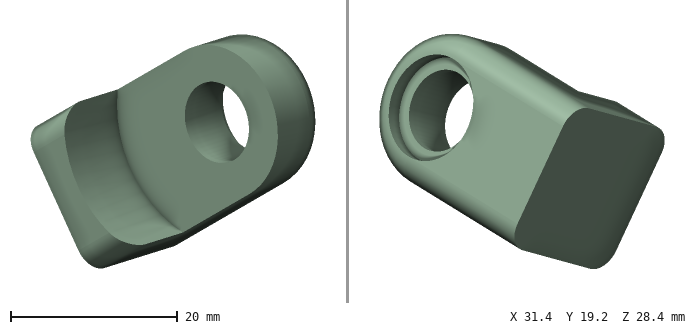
import cadquery as cq

block_length = 19.85
width = 19.0
depth = 19.0
edge_radius = 3.0
tongue_thickness = 9.0
relief_radius = 15.0
relief_setback = 0.7
hole_diameter = 10.0
recess_diameter = 13.0
recess_depth = 2.0

rise_angle = 33.0
lean_angle = -1.0

eye_radius = width / 2
clearance = 3.15


def bar():
    """Bar along X with its long edges rounded, its flat back on the XZ plane."""
    profile = (
        cq.Workplane("XZ")
        .moveTo(0, eye_radius)
        .threePointArc((eye_radius, 0), (0, -eye_radius))
        .lineTo(-block_length, -eye_radius)
        .lineTo(-block_length, eye_radius)
        .close()
    )
    body = profile.extrude(depth)
    body = body.faces(">Y").edges("not(<X)").fillet(edge_radius)
    return body.faces("<Y").edges("|X").fillet(edge_radius)


def cylinder_along_y(diameter, front, back):
    """Cylinder on the eye axis between two Y positions."""
    return (
        cq.Workplane("XZ", origin=(0, back, 0))
        .circle(diameter / 2)
        .extrude(back - front)
    )


def relief():
    """Space in front of the tongue, bounded by the concave shoulder."""
    cutter = cylinder_along_y(2 * relief_radius, -depth - clearance, -tongue_thickness)
    return cutter.translate((-relief_setback, 0, 0))


def eye_hole():
    """Through hole with a wider recess sunk into the back."""
    through = cylinder_along_y(hole_diameter, -depth, clearance)
    recess = cylinder_along_y(recess_diameter, -recess_depth, clearance)
    return through.union(recess)


level_part = bar().cut(relief()).cut(eye_hole())
leaning_part = level_part.rotate((0, 0, 0), (1, 0, 0), lean_angle)
result = leaning_part.rotate((0, 0, 0), (0, 1, 0), -rise_angle)